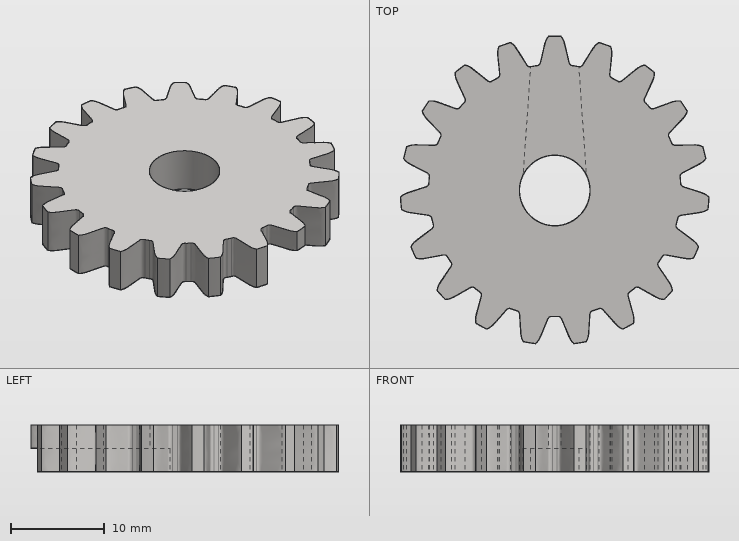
import cadquery as cq
import math

tooth_count = 19
pitch_angle = 2 * math.pi / tooth_count
thickness = 5.0
bore_diameter = 7.52
tip_diameter = 33.0
tip_radius = tip_diameter / 2
root_radius = 13.5

tip_half_width = 0.65
shoulder_half_width = 0.92
shoulder_drop = 0.4
flank_foot_half_width = 1.5
flank_foot_radius = 13.9
root_corner_half_width = 1.65
root_corner_radius = 13.55
flank_bulge = 0.03

root_land_half_width = 0.25

recess_depth = thickness / 2
recess_inner_half_width = 3.5
recess_taper_angle = 4.0
recess_outer_y = tip_radius + 0.33
recess_outer_half_width = recess_inner_half_width - recess_outer_y * math.tan(math.radians(recess_taper_angle))


def point_at(radius, half_width, side, tooth_angle):
    """Point on a circle, offset sideways from the centreline of a tooth."""
    angle = tooth_angle - side * math.asin(half_width / radius)
    return (-radius * math.sin(angle), radius * math.cos(angle))


def flank_points(side, tooth_angle):
    """Points down one flank, from below the tip corner to the start of the root land."""
    shoulder_radius = tip_radius - shoulder_drop
    middle_radius = (shoulder_radius + flank_foot_radius) / 2
    middle_half_width = (shoulder_half_width + flank_foot_half_width) / 2 + flank_bulge
    gap_angle = tooth_angle - side * pitch_angle / 2
    return [
        point_at(shoulder_radius, shoulder_half_width, side, tooth_angle),
        point_at(middle_radius, middle_half_width, side, tooth_angle),
        point_at(flank_foot_radius, flank_foot_half_width, side, tooth_angle),
        point_at(root_corner_radius, root_corner_half_width, side, tooth_angle),
        point_at(root_radius, root_land_half_width, -side, gap_angle),
    ]


def gear_blank():
    """Toothed outline, with one tooth centred on +Y, extruded to full thickness."""
    first_flank_start = flank_points(-1, 0)[-1]
    outline = cq.Workplane("XY").moveTo(*first_flank_start)
    for tooth in range(tooth_count):
        angle = -tooth * pitch_angle
        next_angle = angle - pitch_angle
        rising_flank = flank_points(-1, angle)[-2::-1]
        tip_start = point_at(tip_radius, tip_half_width, -1, angle)
        tip_middle = point_at(tip_radius, 0, 1, angle)
        tip_end = point_at(tip_radius, tip_half_width, 1, angle)
        root_middle = point_at(root_radius, 0, 1, angle - pitch_angle / 2)
        next_flank_start = flank_points(-1, next_angle)[-1]
        outline = (
            outline.spline(rising_flank + [tip_start], includeCurrent=True)
            .threePointArc(tip_middle, tip_end)
            .spline(flank_points(1, angle), includeCurrent=True)
            .threePointArc(root_middle, next_flank_start)
        )
    return outline.close().extrude(thickness)


def bore():
    return cq.Workplane("XY").circle(bore_diameter / 2).extrude(thickness)


def underside_recess():
    """Recess that narrows from the bore centre towards the rim."""
    return (
        cq.Workplane("XY")
        .moveTo(-recess_inner_half_width, 0)
        .lineTo(recess_inner_half_width, 0)
        .lineTo(recess_outer_half_width, recess_outer_y)
        .lineTo(-recess_outer_half_width, recess_outer_y)
        .close()
        .extrude(recess_depth)
    )


result = gear_blank().cut(bore()).cut(underside_recess())